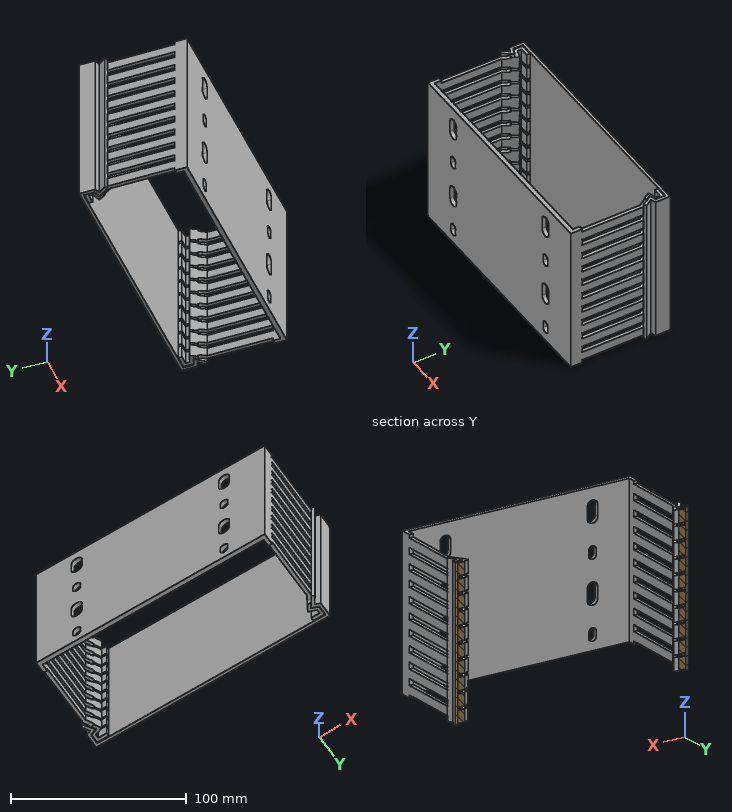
import cadquery as cq
import math

length = 100.0
cover_width = 158.8
depth = 65.3
front_y = -depth / 2
back_y = depth / 2

cover_wall = 2.1
seat_x = cover_width / 2 - cover_wall
seat_y = back_y - cover_wall

inward_slope = math.radians(20)
flap_slope = math.radians(55)
finger_slope = math.radians(60)
snap_start_y = 24.25
flap_end_y = 15.8
flap_end_x = cover_width / 2 - cover_wall * math.sin(flap_slope)

base_half_width = 77.65
base_wall = 3.0
side_inner_x = 75.0
side_top_x = 77.33
hook_wall = 2.25
hook_inner_x = seat_x - hook_wall
finger_bend_y = 15.0
lip_end_x = 69.4

slot_pitch = 10.0
slot_width = 4.0
slot_floor_y = -25.0
slot_count = round(length / slot_pitch) + 1
slot_round_y = 18.0
slit_width = 1.5

mount_x = 50.0
mount_pitch_z = 50.0
large_slot_length = 14.0
large_slot_width = 7.0
large_slot_z = 35.0
small_slot_length = 8.0
small_slot_width = 5.0
small_slot_z = 10.0


def offset_line(point, direction, distance):
    """Line as (point, direction), moved square to the right of its direction."""
    return (
        (point[0] + distance * math.sin(direction), point[1] - distance * math.cos(direction)),
        direction,
    )


def meet(first, second):
    """Point where two lines given as (point, direction) cross."""
    (x1, y1), a1 = first
    (x2, y2), a2 = second
    travel = ((x2 - x1) * math.sin(a2) - (y2 - y1) * math.cos(a2)) / math.sin(a2 - a1)
    return x1 + travel * math.cos(a1), y1 + travel * math.sin(a1)


def upright(x):
    """Line along Y at the given x."""
    return (x, 0), math.pi / 2


inward_line = ((seat_x, snap_start_y), inward_slope)
flap_line = ((flap_end_x, flap_end_y), math.pi - flap_slope)
snap_corner = meet(inward_line, flap_line)


def extrude_symmetric(half_outline):
    """Close a +X half outline with its mirror image and extrude it over the length."""
    mirrored = [(-x, y) for x, y in reversed(half_outline)]
    outline = cq.Workplane("XY").polyline(half_outline + mirrored).close()
    return outline.extrude(length / 2, both=True)


def make_cover():
    outer_slope = offset_line(*inward_line, cover_wall)
    outer_flap = offset_line(*flap_line, cover_wall)
    return extrude_symmetric([
        (cover_width / 2, back_y),
        meet(outer_slope, upright(cover_width / 2)),
        meet(outer_slope, outer_flap),
        outer_flap[0],
        (flap_end_x, flap_end_y),
        snap_corner,
        (seat_x, snap_start_y),
        (seat_x, seat_y),
    ])


def channel_blank():
    inner_slope = offset_line(*inward_line, -hook_wall)
    inner_finger = ((side_inner_x, finger_bend_y), math.pi - finger_slope)
    return extrude_symmetric([
        (base_half_width, front_y),
        meet(flap_line, upright(side_top_x)),
        snap_corner,
        (seat_x, snap_start_y),
        (seat_x, seat_y),
        (lip_end_x, seat_y),
        (lip_end_x, seat_y - hook_wall),
        (hook_inner_x, seat_y - hook_wall),
        meet(inner_slope, upright(hook_inner_x)),
        meet(inner_slope, inner_finger),
        (side_inner_x, finger_bend_y),
        (side_inner_x, front_y + base_wall),
    ])


def finger_slot(z):
    """Slot through both sides: a wide part with a round end, then a narrow slit to the back."""
    side = cq.Workplane("YZ", origin=(0, 0, z))
    half_slot = slot_width / 2
    wide_part = (
        side.moveTo(slot_floor_y, -half_slot)
        .lineTo(slot_round_y, -half_slot)
        .threePointArc((slot_round_y + half_slot, 0), (slot_round_y, half_slot))
        .lineTo(slot_floor_y, half_slot)
        .close().extrude(cover_width / 2, both=True)
    )
    slit_length = back_y - slot_round_y
    slit = (
        side.center(slot_round_y + slit_length / 2, 0)
        .rect(slit_length, slit_width).extrude(cover_width / 2, both=True)
    )
    return wide_part.union(slit)


def mount_slots(first_z, slot_length, width):
    """Four upright round-ended slots through the base."""
    centres = [(x, z) for x in (-mount_x, mount_x) for z in (first_z, first_z - mount_pitch_z)]
    return (
        cq.Workplane("XZ", origin=(0, front_y, 0)).pushPoints(centres)
        .slot2D(slot_length, width, 90).extrude(-base_wall)
    )


def make_channel():
    channel = channel_blank()
    for index in range(slot_count):
        channel = channel.cut(finger_slot(index * slot_pitch - length / 2))
    channel = channel.cut(mount_slots(large_slot_z, large_slot_length, large_slot_width))
    return channel.cut(mount_slots(small_slot_z, small_slot_length, small_slot_width))


cover = make_cover()
channel = make_channel()

result = cq.Compound.makeCompound([cover.val(), channel.val()])